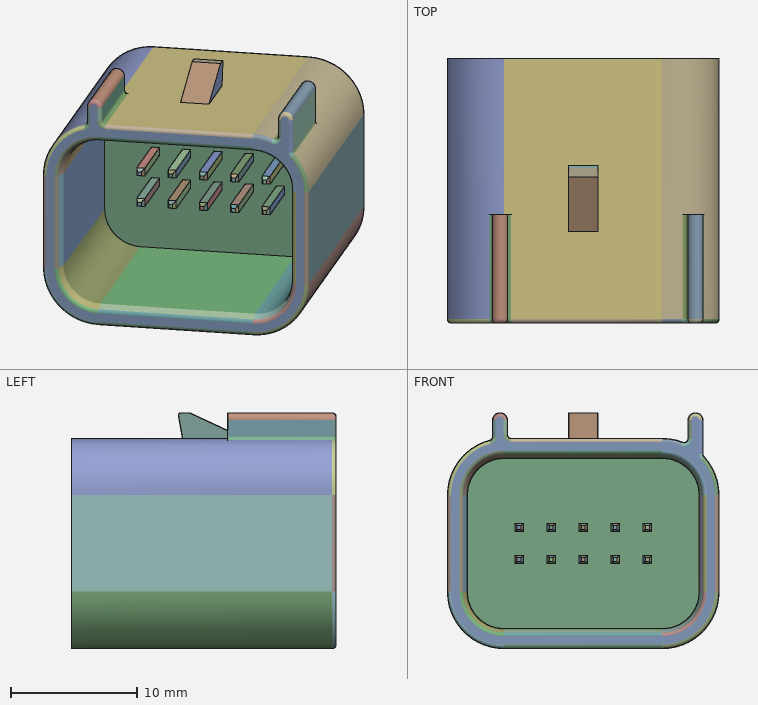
import cadquery as cq
import math

WIDTH = 21.54
LENGTH = 21.0
HEIGHT = 16.67
OVERALL_HEIGHT = 18.7
CORNER_RADIUS = 4.5
FRONT_Y = -LENGTH / 2
TOP_Z = HEIGHT / 2
OVERALL_TOP_Z = OVERALL_HEIGHT - HEIGHT / 2

EDGE_RADIUS = 0.3
RIM_WALL = 1.2
LEAD_IN_WALL = 1.5
FLOOR_WALL = 1.58
LEAD_IN_END_DEPTH = 1.0
CAVITY_DEPTH = 16.0

RIB_WIDTH = 1.2
RIB_LENGTH = 8.6
RIB_CENTERS_X = (-6.6, 8.9)
RIB_ROOT_Z = TOP_Z - CORNER_RADIUS / 2

LATCH_WIDTH = 2.3
RAMP_START = 7.25
RAMP_ANGLE = 25.0
LATCH_TIP = 12.55
UNDERCUT_ANGLE = 10.0
TIP_RADIUS = 0.2
LATCH_SINK = 0.3

PIN_COLUMNS = 5
PIN_ROWS = 2
PIN_PITCH = 2.54
PIN_SIZE = 0.65
PIN_LENGTH = 6.0
PIN_TIP_INSET = 0.17
PIN_TIP_LENGTH = 0.5
PIN_SINK = 1.0

TOLERANCE = 0.01


def front_facing_plane(y):
    """Sketch plane at the given y: right is +X, up is +Z, and the normal points to the front (-Y)."""
    return cq.Plane(origin=(0, y, 0), xDir=(1, 0, 0), normal=(0, -1, 0))


def shell_outline(wall):
    """Shell outline moved inward by `wall`, with corners concentric to the outer ones."""
    outline = cq.Sketch().rect(WIDTH - 2 * wall, HEIGHT - 2 * wall)
    return outline.vertices().fillet(CORNER_RADIUS - wall)


def tapered_section(front_y, front_wall, back_y, back_wall):
    """Loft between two inset outlines, widest at the front."""
    front = shell_outline(front_wall)
    back = shell_outline(back_wall).moved(cq.Location(cq.Vector(0, 0, front_y - back_y)))
    return cq.Workplane(front_facing_plane(front_y)).placeSketch(front, back).loft()


def rib(center_x):
    """Upright rib with a full-round top, starting at the front face."""
    half = RIB_WIDTH / 2
    shoulder_z = OVERALL_TOP_Z - half
    return (
        cq.Workplane(front_facing_plane(FRONT_Y))
        .moveTo(center_x - half, RIB_ROOT_Z)
        .lineTo(center_x - half, shoulder_z)
        .threePointArc((center_x, OVERALL_TOP_Z), (center_x + half, shoulder_z))
        .lineTo(center_x + half, RIB_ROOT_Z)
        .close()
        .extrude(-RIB_LENGTH)
    )


def rib_root_edges(body):
    """Edges along Y where the rib sides meet the shell."""
    half = RIB_WIDTH / 2
    picked = []
    for edge in body.edges("|Y").vals():
        middle = edge.Center()
        on_side = any(abs(abs(middle.x - x) - half) < TOLERANCE for x in RIB_CENTERS_X)
        if on_side and RIB_ROOT_Z < middle.z < TOP_Z + TOLERANCE:
            picked.append(edge)
    return body.newObject(picked)


def latch():
    """Ramp rising toward the back, ending in a flat top and an undercut back face."""
    rise = OVERALL_TOP_Z - TOP_Z
    ramp_end = RAMP_START + rise / math.tan(math.radians(RAMP_ANGLE))
    undercut = rise * math.tan(math.radians(UNDERCUT_ANGLE))
    base_z = TOP_Z - LATCH_SINK
    profile = [
        (FRONT_Y + RAMP_START, base_z),
        (FRONT_Y + RAMP_START, TOP_Z),
        (FRONT_Y + ramp_end, OVERALL_TOP_Z),
        (FRONT_Y + LATCH_TIP, OVERALL_TOP_Z),
        (FRONT_Y + LATCH_TIP - undercut, TOP_Z),
        (FRONT_Y + LATCH_TIP - undercut, base_z),
    ]
    ramp = cq.Workplane("YZ").polyline(profile).close().extrude(LATCH_WIDTH / 2, both=True)
    return ramp.edges("|X").edges(">Y").fillet(TIP_RADIUS)


def pins():
    """Grid of square pins with tapered tips, their feet sunk into the floor."""
    shaft_end_y = FRONT_Y + CAVITY_DEPTH - PIN_LENGTH + PIN_TIP_LENGTH
    shaft_length = PIN_LENGTH - PIN_TIP_LENGTH + PIN_SINK
    tip_taper = math.degrees(math.atan(PIN_TIP_INSET / PIN_TIP_LENGTH))
    layout = (
        cq.Workplane(front_facing_plane(shaft_end_y))
        .rarray(PIN_PITCH, PIN_PITCH, PIN_COLUMNS, PIN_ROWS)
    )
    shafts = layout.rect(PIN_SIZE, PIN_SIZE).extrude(-shaft_length)
    tips = layout.rect(PIN_SIZE, PIN_SIZE).extrude(PIN_TIP_LENGTH, combine=False, taper=tip_taper)
    return shafts.union(tips)


def cavity():
    """Lead-in at the mouth followed by the drafted pocket down to the floor."""
    lead_in_end_y = FRONT_Y + LEAD_IN_END_DEPTH
    floor_y = FRONT_Y + CAVITY_DEPTH
    lead_in = tapered_section(FRONT_Y, RIM_WALL, lead_in_end_y, LEAD_IN_WALL)
    pocket = tapered_section(lead_in_end_y, LEAD_IN_WALL, floor_y, FLOOR_WALL)
    return lead_in.union(pocket)


body = cq.Workplane(front_facing_plane(FRONT_Y)).placeSketch(shell_outline(0)).extrude(-LENGTH)
for rib_x in RIB_CENTERS_X:
    body = body.union(rib(rib_x))
body = rib_root_edges(body).fillet(EDGE_RADIUS)
body = body.faces("<Y").edges().fillet(EDGE_RADIUS)

body = body.cut(cavity())
mouth = body.faces("<Y").val().innerWires()[0]
body = body.newObject(mouth.Edges()).fillet(EDGE_RADIUS)

result = body.union(latch()).union(pins())